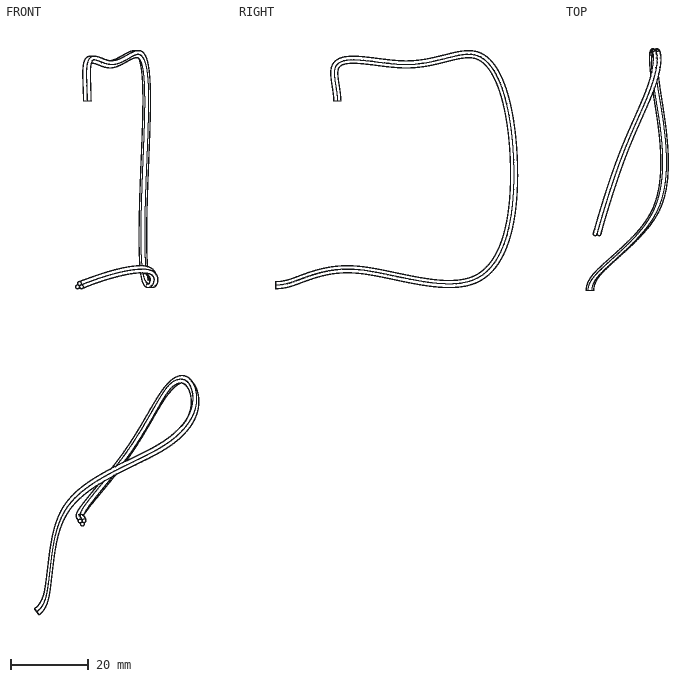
import cadquery as cq
import math

strand_count = 3
strand_diameter = 1.0
strand_radius = strand_diameter / 2
strand_gap = 0.025
strand_pitch = strand_diameter + strand_gap
bundle_radius = strand_pitch / 2 / math.sin(math.pi / strand_count)
first_strand_angle = 90.0
strand_step_angle = 360.0 / strand_count

centreline_points = [
    (0.0, 0.0, 0.0),
    (3.86, 6.19, 1.45),
    (17.4, 21.78, 3.91),
    (17.19, 51.28, 1.45),
    (16.81, 61.5, 30.94),
    (15.52, 51.73, 59.5),
    (7.98, 33.86, 57.14),
    (1.88, 15.03, 55.82),
    (2.03, 15.72, 47.54),
]
lower_end_direction = (0, 1, 0)
upper_end_direction = (0, 0, -1)
guide_shift = (5.0, 0, 0)


def make_centreline():
    return cq.Workplane("XY").spline(
        centreline_points,
        tangents=[lower_end_direction, upper_end_direction],
        scale=False,
    )


def make_strand(angle):
    """Sweep one strand, set off from the bundle centre at the given angle in the XZ plane."""
    offset_x = bundle_radius * math.cos(math.radians(angle))
    offset_z = bundle_radius * math.sin(math.radians(angle))
    profile = cq.Workplane("XZ").center(offset_x, offset_z).circle(strand_radius)
    guide = make_centreline().translate(guide_shift)
    return profile.sweep(make_centreline(), auxSpine=guide)


strands = []
for index in range(strand_count):
    strand = make_strand(first_strand_angle + index * strand_step_angle)
    strands.append(strand.val())

result = cq.Compound.makeCompound(strands)